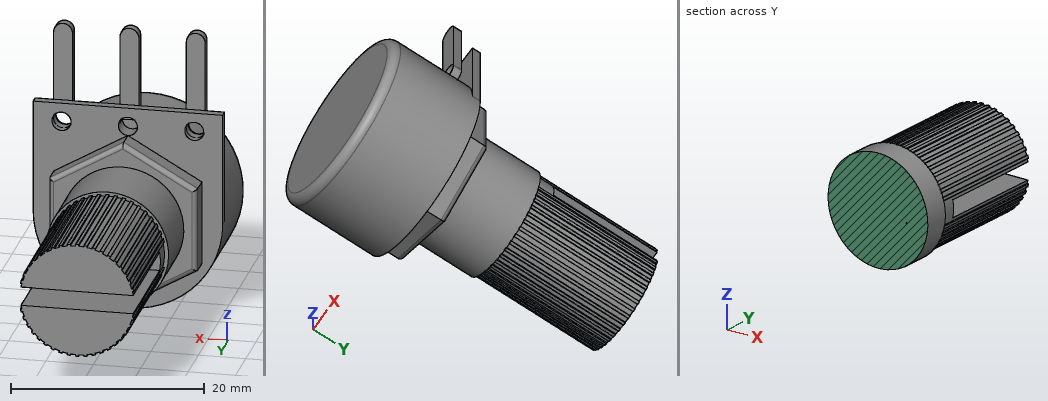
import cadquery as cq

case_radius = 10.0
case_back_fillet = 1.0

plate_back_y = 10.0
plate_front_y = 11.0
nut_front_y = 13.5
bushing_front_y = 21.0
shaft_front_y = 36.0

plate_top_z = 12.0

nut_corner_diameter = 18.0
nut_edge_fillet = 0.5

bushing_diameter = 12.87
shaft_diameter = 12.0

ridge_width = 0.35
ridge_height = 0.15
ridge_root_depth = 0.5
ridges_per_fan = 19
fan_angle = 150.0

slot_width = 2.0
slot_depth = 13.0

pin_spacing = 7.0
pin_width = 2.0
pin_thickness = 1.0
pin_top_z = 20.42
pin_bottom_z = 8.92
pin_offset_x = 0.06
pin_hole_diameter = 2.0
pin_hole_z = 10.0
pin_back_y = plate_back_y - pin_thickness


def section(y):
    """Workplane across the shaft axis: local x is Z, local y is X, extrusion runs toward +Y."""
    return cq.Workplane(cq.Plane(origin=(0, y, 0), xDir=(0, 0, 1), normal=(0, 1, 0)))


def cylinder(diameter, y_start, y_end):
    return section(y_start).circle(diameter / 2).extrude(y_end - y_start)


def box(x_min, x_max, y_min, y_max, z_min, z_max):
    size = (x_max - x_min, y_max - y_min, z_max - z_min)
    return cq.Workplane("XY").box(*size, centered=False).translate((x_min, y_min, z_min))


def make_case():
    case = cylinder(2 * case_radius, 0, plate_front_y)
    return case.faces("<Y").edges().fillet(case_back_fillet)


def make_plate():
    return box(-case_radius, case_radius, plate_back_y, plate_front_y, 0, plate_top_z)


def make_nut():
    """Hexagon with two corners on the Z axis and a rounded front edge."""
    nut_thickness = nut_front_y - plate_front_y
    nut = section(plate_front_y).polygon(6, nut_corner_diameter).extrude(nut_thickness)
    return nut.faces(">Y").edges().fillet(nut_edge_fillet)


def make_ridges():
    """Ridges fanned symmetrically about +Z and -Z, each rooted inside the shaft."""
    root_z = shaft_diameter / 2 - ridge_root_depth
    tip_z = shaft_diameter / 2 + ridge_height
    ridge = box(-ridge_width / 2, ridge_width / 2, bushing_front_y, shaft_front_y, root_z, tip_z)
    pitch = fan_angle / (ridges_per_fan - 1)
    ridges = []
    for fan_center in (0, 180):
        for index in range(ridges_per_fan):
            angle = fan_center - fan_angle / 2 + index * pitch
            ridges.append(ridge.rotate((0, 0, 0), (0, 1, 0), angle))
    return ridges


def make_shaft():
    shaft = cylinder(shaft_diameter, nut_front_y, shaft_front_y)
    for ridge in make_ridges():
        shaft = shaft.union(ridge)
    reach = shaft_diameter
    slot = box(-reach, reach, shaft_front_y - slot_depth, shaft_front_y, -slot_width / 2, slot_width / 2)
    return shaft.cut(slot)


def make_pin(x):
    """Flat pin with full-round ends."""
    pin_length = pin_top_z - pin_bottom_z
    pin_center_z = (pin_top_z + pin_bottom_z) / 2
    return section(pin_back_y).center(pin_center_z, x).slot2D(pin_length, pin_width).extrude(pin_thickness)


def make_pin_hole(x):
    """Hole through a pin and the plate; the middle one also notches the case rim."""
    hole_length = plate_front_y - pin_back_y
    return section(pin_back_y).center(pin_hole_z, x).circle(pin_hole_diameter / 2).extrude(hole_length)


result = make_case().union(make_plate()).union(make_nut())
result = result.union(cylinder(bushing_diameter, plate_front_y, bushing_front_y))
result = result.union(make_shaft())
for hole_x in (-pin_spacing, 0, pin_spacing):
    result = result.union(make_pin(hole_x + pin_offset_x))
for hole_x in (-pin_spacing, 0, pin_spacing):
    result = result.cut(make_pin_hole(hole_x))